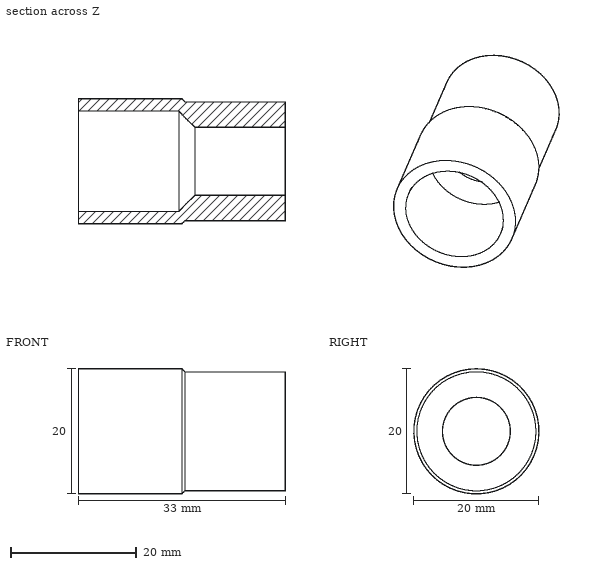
import cadquery as cq

total_length = 33.0
sleeve_diameter = 20.0
spigot_diameter = 19.0
spigot_length = 16.0
socket_diameter = 16.0
socket_depth = 16.0
throat_diameter = 10.8

sleeve_radius = sleeve_diameter / 2
spigot_radius = spigot_diameter / 2
socket_radius = socket_diameter / 2
throat_radius = throat_diameter / 2

shoulder_end = total_length - spigot_length
shoulder_start = shoulder_end - (sleeve_radius - spigot_radius)
taper_start = socket_depth
taper_end = taper_start + (socket_radius - throat_radius)


def make_tube_wall_section():
    """Section of the tube wall above the axis: outer outline, then back along the bore."""
    return (
        cq.Workplane("XZ")
        .moveTo(0, socket_radius)
        .lineTo(0, sleeve_radius)
        .lineTo(shoulder_start, sleeve_radius)
        .lineTo(shoulder_end, spigot_radius)
        .lineTo(total_length, spigot_radius)
        .lineTo(total_length, throat_radius)
        .lineTo(taper_end, throat_radius)
        .lineTo(taper_start, socket_radius)
        .close()
    )


result = make_tube_wall_section().revolve(360, (0, 0, 0), (1, 0, 0))